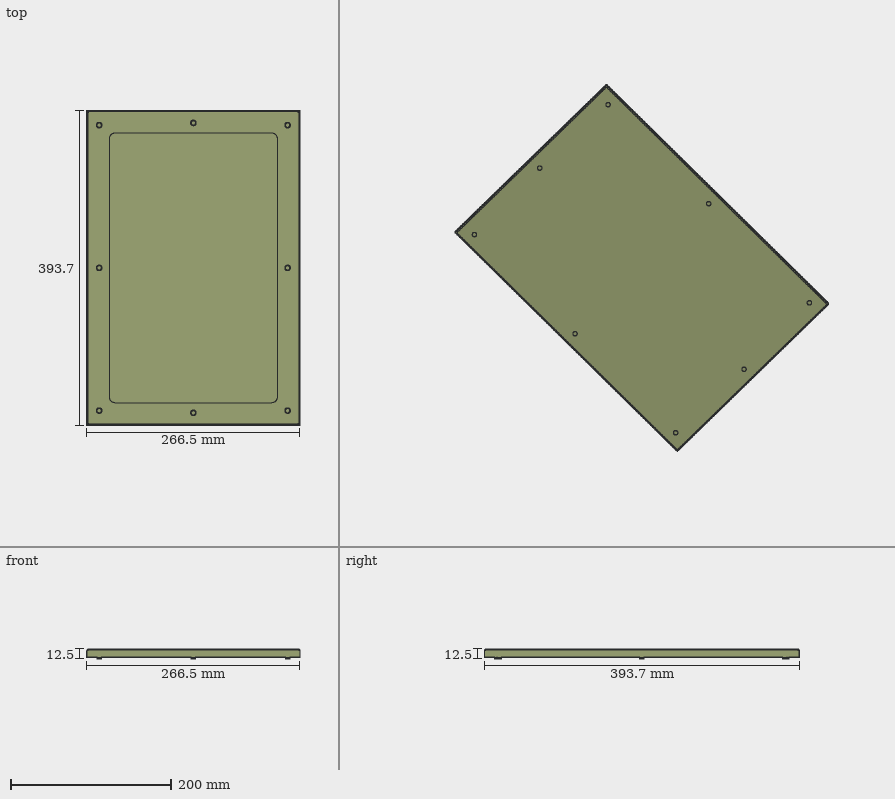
import cadquery as cq

WIDTH = 266.5
LENGTH = 393.7
TOTAL_HEIGHT = 12.5
STUD_PROJECTION = 1.8
FRAME_HEIGHT = TOTAL_HEIGHT - STUD_PROJECTION

WALL = 1.5
EDGE_RADIUS = 2.95
CAVITY_HEIGHT = FRAME_HEIGHT - WALL

BORDER = 28.5
WINDOW_WIDTH = WIDTH - 2 * BORDER
WINDOW_LENGTH = LENGTH - 2 * BORDER
WINDOW_RADIUS = 7.0

SHANK_DIAMETER = 5.5
HEAD_DIAMETER = 7.0
HEAD_THICKNESS = 0.5
SIDE_STUD_X = 117.7
CORNER_STUD_Y = 178.5
END_STUD_Y = 181.0

STUD_POINTS = [(side * SIDE_STUD_X, row * CORNER_STUD_Y) for side in (-1, 1) for row in (-1, 0, 1)]
STUD_POINTS += [(0, end * END_STUD_Y) for end in (-1, 1)]


def make_stud(x, y):
    """Flat-headed stud, flush with the frame top and projecting below its bottom."""
    shank = cq.Workplane("XY", origin=(x, y, -STUD_PROJECTION)).circle(SHANK_DIAMETER / 2)
    head = cq.Workplane("XY", origin=(x, y, FRAME_HEIGHT)).circle(HEAD_DIAMETER / 2)
    return shank.extrude(TOTAL_HEIGHT).union(head.extrude(-HEAD_THICKNESS))


def cavity_block():
    """Block that fills the inside of the pan, standing on Z = 0."""
    return cq.Workplane("XY").rect(WIDTH - 2 * WALL, LENGTH - 2 * WALL).extrude(CAVITY_HEIGHT)


def window_block():
    """Round-cornered block that cuts the window through the frame."""
    block = cq.Workplane("XY").rect(WINDOW_WIDTH, WINDOW_LENGTH).extrude(FRAME_HEIGHT)
    return block.edges("|Z").fillet(WINDOW_RADIUS)


def drill_for_studs(body):
    """Cut the stud holes, with their head recesses, out of a body."""
    for x, y in STUD_POINTS:
        body = body.cut(make_stud(x, y))
    return body


def make_frame():
    """Pan with rounded top edges, a window and stud holes."""
    frame = cq.Workplane("XY").rect(WIDTH, LENGTH).extrude(FRAME_HEIGHT)
    frame = frame.faces(">Z").edges().fillet(EDGE_RADIUS)
    frame = frame.cut(cavity_block()).cut(window_block())
    return drill_for_studs(frame)


def make_panel():
    """Panel that fills the pan behind the window, drilled for the stud shanks."""
    return drill_for_studs(cavity_block())


frame = make_frame()
panel = make_panel()
studs = [make_stud(x, y) for x, y in STUD_POINTS]

bodies = [frame, panel, *studs]
result = cq.Compound.makeCompound([body.solids().val() for body in bodies])